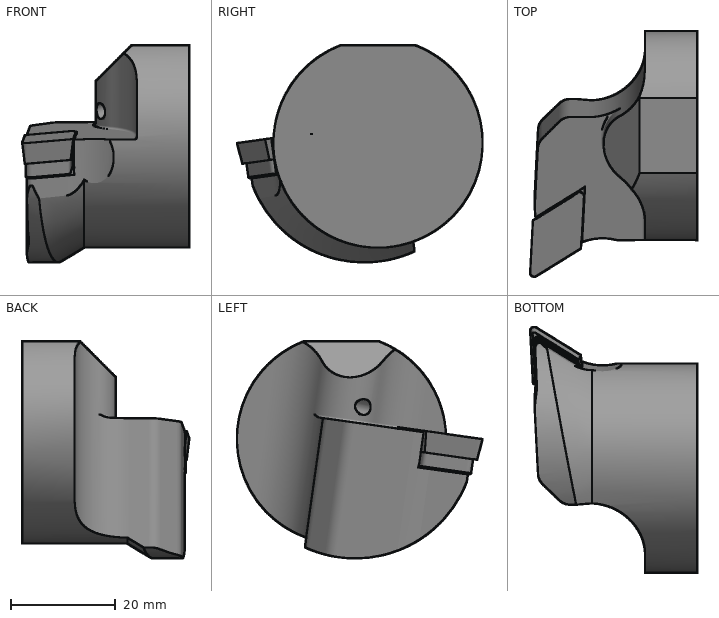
import cadquery as cq
import math

shank_radius = 20.0
shank_front = -20.1
flat_height = 18.7
chamfer_start = -11.05
chamfer_run = 9.4
shoulder_x = -10.05

head_front = -31.1
flare_slope = 0.6
trim_radius = 22.85
trim_y = -2.65

tilt = 8.0
face_height = 3.5
face_fillet = 0.45
reach = 47.0

flute_radius = 10.55
bump_radius = 6.9
bump_tip = -17.95
chamfer_corner_x = -25.5
head_corner_radius = 3.0
end_angle = 3.0
main_end_y = -13.65
relief_y = -17.5
relief_x = -30.7
relief_mid_y = -15.5
relief_mid_x = -30.95
front_flute_x = -18.15
front_flute_y = -19.35

insert_top = 3.75
insert_thickness = 4.1
shim_thickness = 3.0
insert_edge = 11.6
nose_angle = 55.0
nose_radius = 0.8
nose_x = -31.2
nose_y = -25.95
relief_angle = 7.0
shim_inset = 0.6
shim_radius = 0.95
shim_chamfer = 0.35
pocket_clearance = 0.15

hole_diameter = 3.0
hole_y = -4.3
hole_z = 6.1
hole_x = -17.05
hole_swing = 56.0
hole_rise = 10.0
hole_depth = 8.45
hole_lead = 3.75

trail_angle = 90 - end_angle - nose_angle
trail_rad = math.radians(trail_angle)
middle_rad = math.radians(trail_angle + nose_angle / 2)
end_slope = math.tan(math.radians(end_angle))
flute_x = shoulder_x - flute_radius
bump_x = bump_tip + bump_radius
flute_y = math.sqrt((bump_radius + flute_radius) ** 2 - (bump_x - flute_x) ** 2)
flute_diagonal = flute_radius * math.sqrt(0.5)
back_y = flute_y - flute_radius

nose_to_middle = insert_edge * math.cos(math.radians(nose_angle / 2))
nose_to_middle -= nose_radius / math.sin(math.radians(nose_angle / 2))
insert_x = nose_x + nose_to_middle * math.cos(middle_rad)
insert_y = nose_y + nose_to_middle * math.sin(middle_rad)
insert_bottom = insert_top - insert_thickness
pocket_floor = insert_bottom - shim_thickness


def tilted(work):
    return work.rotate((0, 0, 0), (1, 0, 0), tilt)


def make_envelope():
    """Shank disc, plus the flared head trimmed by the off-centre cylinder."""
    shank = cq.Workplane("YZ").circle(shank_radius).extrude(shank_front)
    head_length = shank_front - head_front + 0.45
    flare_radius = shank_radius + flare_slope * head_length
    flare = (
        cq.Workplane("XY")
        .moveTo(shank_front, 0)
        .lineTo(shank_front, shank_radius)
        .lineTo(shank_front - head_length, flare_radius)
        .lineTo(shank_front - head_length, 0)
        .close()
        .revolve(360, (0, 0, 0), (1, 0, 0))
    )
    trim = cq.Workplane("YZ").center(trim_y, 0).circle(trim_radius).extrude(-reach)
    return shank.union(flare.intersect(trim))


def plan_outline():
    """Head outline in plan: back flute, corner face, front end, cutting-side flute."""
    end_at_back = head_front + end_slope * (back_y - main_end_y)
    corner_run = (chamfer_corner_x - end_at_back) / (1 - end_slope)
    corner_x = chamfer_corner_x - corner_run
    corner_y = back_y - corner_run

    flute_side = flute_radius * math.sin(trail_rad)
    side_x = front_flute_x - flute_side
    side_y = front_flute_y - flute_radius * (1 - math.cos(trail_rad))

    side_slope = math.tan(trail_rad)
    side_y_at_relief = side_y + side_slope * (relief_x - side_x)
    tip_x = relief_x + end_slope * (side_y_at_relief - relief_y) / (1 - end_slope * side_slope)
    tip_y = side_y + side_slope * (tip_x - side_x)

    outline = (
        cq.Workplane("XY", origin=(0, 0, -reach))
        .moveTo(0, reach)
        .lineTo(shoulder_x, reach)
        .lineTo(shoulder_x, flute_y)
        .threePointArc((flute_x + flute_diagonal, flute_y - flute_diagonal), (flute_x, back_y))
        .lineTo(chamfer_corner_x, back_y)
        .lineTo(corner_x, corner_y)
        .lineTo(head_front, main_end_y)
        .threePointArc((relief_mid_x, relief_mid_y), (relief_x, relief_y))
        .lineTo(tip_x, tip_y)
        .lineTo(side_x, side_y)
        .threePointArc((front_flute_x, front_flute_y), (front_flute_x + flute_side, side_y))
        .lineTo(front_flute_x + flute_side, -reach)
        .lineTo(0, -reach)
        .close()
        .extrude(2 * reach)
    )
    for x, y, radius in (
        (chamfer_corner_x, back_y, head_corner_radius),
        (corner_x, corner_y, head_corner_radius),
        (tip_x, tip_y, nose_radius),
    ):
        outline = outline.edges(cq.NearestToPointSelector((x, y, 0))).fillet(radius)
    return outline


def chip_space():
    """Space above the rake face, bounded by the bump and the hollow beside it."""
    share = bump_radius / (bump_radius + flute_radius)
    join_x = bump_x + share * (flute_x - bump_x)
    join_y = share * flute_y
    hollow_mid = math.atan2(flute_y - join_y, join_x - flute_x) / 2
    hollow_mid_x = flute_x + flute_radius * math.cos(hollow_mid)
    hollow_mid_y = -flute_y + flute_radius * math.sin(hollow_mid)
    return (
        cq.Workplane("XY", origin=(0, 0, face_height))
        .moveTo(-reach, join_y)
        .lineTo(join_x, join_y)
        .threePointArc((bump_tip, 0), (join_x, -join_y))
        .threePointArc((hollow_mid_x, hollow_mid_y), (shoulder_x, -flute_y))
        .lineTo(shoulder_x, -reach)
        .lineTo(-reach, -reach)
        .close()
        .extrude(reach)
        .faces("<Z")
        .edges(cq.NearestToPointSelector((hollow_mid_x, hollow_mid_y, face_height)))
        .fillet(face_fillet)
    )


def make_top_cut():
    """Flat on top of the shank and the 45 degree chamfer in front of it."""
    return (
        cq.Workplane("XZ", origin=(0, reach, 0))
        .moveTo(reach, flat_height)
        .lineTo(chamfer_start, flat_height)
        .lineTo(chamfer_start - chamfer_run, flat_height - chamfer_run)
        .lineTo(-reach, flat_height - chamfer_run)
        .lineTo(-reach, reach)
        .lineTo(reach, reach)
        .close()
        .extrude(2 * reach)
    )


def diamond_prism(top, height, taper=0.0, inset=0.0, acute_radius=0.0, obtuse_radius=0.0):
    """Rhombus prism going down from a tilted height, tapering inward."""
    half_rad = math.radians(nose_angle / 2)
    edge = insert_edge - 2 * inset / math.sin(2 * half_rad)
    along = edge * math.cos(half_rad)
    across = edge * math.sin(half_rad)
    corners = [(-along, 0), (0, -across), (along, 0), (0, across)]
    sketch = cq.Sketch().polygon(corners + corners[:1])
    for tips, radius in (("<X or >X", acute_radius), ("<Y or >Y", obtuse_radius)):
        if radius > 0:
            sketch = sketch.reset().vertices(tips).fillet(radius)
    plane = cq.Plane(
        origin=(insert_x, insert_y, top),
        xDir=(math.cos(middle_rad), math.sin(middle_rad), 0),
        normal=(0, 0, -1),
    )
    return cq.Workplane(plane).placeSketch(sketch).extrude(height, taper=taper)


def make_insert():
    """Tapered diamond insert standing on its smaller shim."""
    plate = diamond_prism(insert_top, insert_thickness, taper=relief_angle, acute_radius=nose_radius)
    shim = diamond_prism(
        insert_bottom,
        shim_thickness,
        inset=shim_inset,
        acute_radius=shim_radius,
        obtuse_radius=shim_radius,
    )
    shim = shim.faces("<Z").edges().chamfer(shim_chamfer)
    return tilted(plate.union(shim))


def coolant_hole():
    """Blind hole through the bump along the line from the insert."""
    swing = math.radians(hole_swing)
    rise = math.radians(hole_rise)
    direction = cq.Vector(
        math.cos(rise) * math.cos(swing),
        math.cos(rise) * math.sin(swing),
        math.sin(rise),
    )
    start = cq.Vector(hole_x, hole_y, hole_z) - direction * hole_lead
    return cq.Workplane(cq.Solid.makeCylinder(hole_diameter / 2, hole_lead + hole_depth, start, direction))


def make_holder():
    """Shank and head with the flutes, chip space, insert pocket and coolant hole."""
    pocket = diamond_prism(insert_top, insert_top - pocket_floor, inset=-pocket_clearance)
    holder = make_envelope().intersect(tilted(plan_outline()))
    for space in (tilted(chip_space()), make_top_cut(), tilted(pocket), coolant_hole()):
        holder = holder.cut(space)
    return holder


holder = make_holder()
insert = make_insert()
result = cq.Compound.makeCompound([holder.val(), insert.val()])